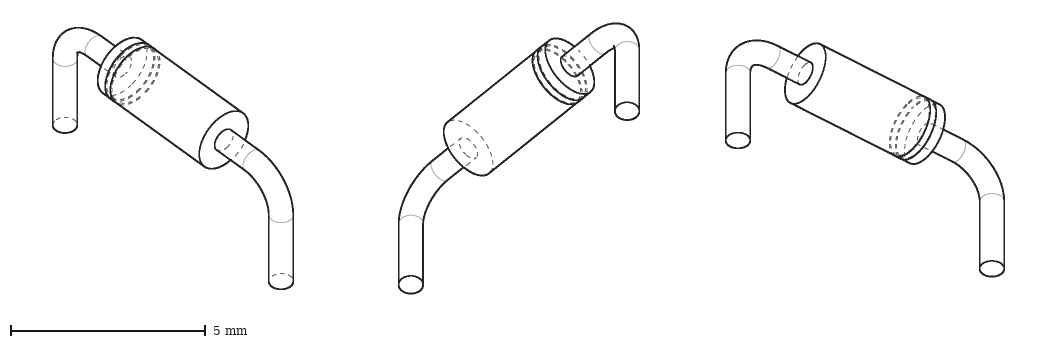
import cadquery as cq

overall_length = 8.94
body_length = 3.91
body_diameter = 1.7

band_diameter = 1.71
band_inner_diameter = 1.61
band_width = 0.2
band_offset = 0.295

lead_diameter = 0.635
bend_radius = 1.12
lead_drop = 3.38

body_end = body_length / 2
lead_span = overall_length - lead_diameter
band_start = band_offset - body_end


def make_band_ring(outer_diameter):
    """Ring around the X axis at the band position."""
    return (
        cq.Workplane("YZ", origin=(band_start, 0, 0))
        .circle(outer_diameter / 2)
        .circle(band_inner_diameter / 2)
        .extrude(band_width)
    )


def make_body():
    """Cylinder with a shallow groove that holds the marking band."""
    cylinder = (
        cq.Workplane("YZ", origin=(-body_end, 0, 0))
        .circle(body_diameter / 2)
        .extrude(body_length)
    )
    return cylinder.cut(make_band_ring(band_diameter))


def make_lead(side):
    """Round wire from one body end face, bent down; side is -1 or +1 along X."""
    lead_x = side * lead_span / 2
    bend_start_x = lead_x - side * bend_radius
    straight_wire = (
        cq.Workplane("YZ", origin=(side * body_end, 0, 0))
        .circle(lead_diameter / 2)
        .extrude(bend_start_x - side * body_end)
    )
    bend = (
        cq.Workplane("YZ", origin=(bend_start_x, 0, 0))
        .circle(lead_diameter / 2)
        .revolve(90, (0, -bend_radius, 0), (side, -bend_radius, 0))
    )
    leg = (
        cq.Workplane("XY", origin=(lead_x, 0, -lead_drop))
        .circle(lead_diameter / 2)
        .extrude(lead_drop - bend_radius)
    )
    return straight_wire.union(bend).union(leg)


body = make_body()
band = make_band_ring(band_diameter)
leads = [make_lead(side) for side in (-1, 1)]

result = cq.Compound.makeCompound([body.val(), band.val(), *[lead.val() for lead in leads]])